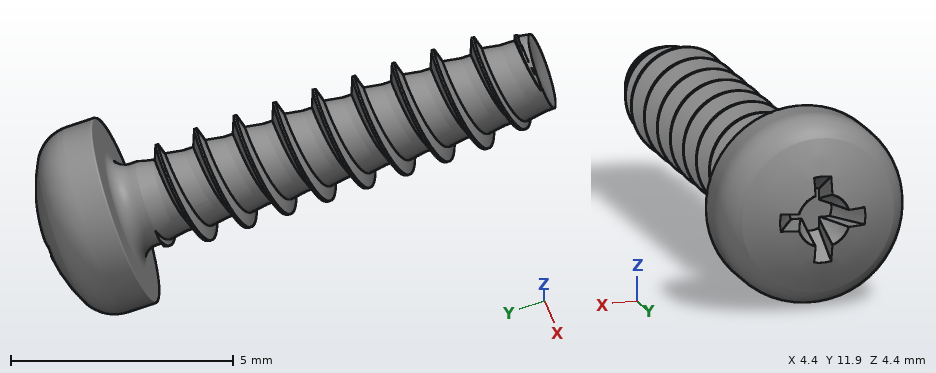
import cadquery as cq
import math


HEAD_RADIUS = 2.2
HEAD_HEIGHT = 1.88
HEAD_SIDE_HEIGHT = 0.69
DOME_EDGE_RADIUS = 1.8
DOME_EDGE_HEIGHT = 1.446
BEARING_EDGE_ROUND = 0.04

RECESS_CORE_RADIUS = 0.62
RECESS_CORE_FLOOR_RADIUS = 0.3
RECESS_WING_RADIUS = 1.06
RECESS_WING_FLOOR_RADIUS = 0.5
RECESS_WING_WIDTH = 0.4
RECESS_DEPTH = 1.0

SHANK_LENGTH = 10.0
NECK_RADIUS = 0.966
NECK_LENGTH = 0.6
NECK_FILLET = 0.4
NECK_TAPER_LENGTH = 0.4
CORE_RADIUS = 0.875
TIP_RADIUS = 0.86
TIP_TAPER_LENGTH = 0.5
TIP_DIMPLE_RADIUS = 0.78
TIP_DIMPLE_DEPTH = 0.1

PITCH = 0.95
CREST_RADIUS = 1.25
CREST_WIDTH = 0.06
HEAD_FLANK_LENGTH = 0.15
TIP_FLANK_LENGTH = 0.1
FLANK_FOOT_RADIUS = 0.94
ROOT_TAPER_LENGTH = 0.42
ROOT_OVERLAP = 0.02
THREAD_START_ANGLE = -90.0
THREAD_START_Y = -0.49
THREAD_TURNS = 10
LEAD_IN_TURNS = 1.0
LEAD_IN_SIZE = 0.42
RUN_OUT_TURNS = 1.4
RUN_OUT_SIZE = 0.04
POINTS_PER_TURN = 24


def make_head():
    """Domed head: straight side, rounded shoulder and spherical top."""
    dome_center = (
        (RECESS_CORE_RADIUS**2 + HEAD_HEIGHT**2) - (DOME_EDGE_RADIUS**2 + DOME_EDGE_HEIGHT**2)
    ) / (2 * (HEAD_HEIGHT - DOME_EDGE_HEIGHT))
    dome_radius = math.hypot(DOME_EDGE_RADIUS, DOME_EDGE_HEIGHT - dome_center)
    half_angle = math.asin(DOME_EDGE_RADIUS / dome_radius) / 2
    dome_middle = (
        dome_radius * math.sin(half_angle),
        dome_center + dome_radius * math.cos(half_angle),
    )
    profile = (
        cq.Workplane("ZY")
        .lineTo(HEAD_RADIUS, 0)
        .lineTo(HEAD_RADIUS, HEAD_SIDE_HEIGHT)
        .tangentArcPoint((DOME_EDGE_RADIUS, DOME_EDGE_HEIGHT), relative=False)
        .threePointArc(dome_middle, (0, dome_center + dome_radius))
        .close()
    )
    head = profile.revolve(360, (0, 0, 0), (0, 1, 0))
    return head.faces("<Y").edges().fillet(BEARING_EDGE_ROUND)


def make_recess_cone(floor_radius, mouth_radius):
    """Cone widening from the recess floor to the mouth at the head height, and on past the dome."""
    floor_y = HEAD_HEIGHT - RECESS_DEPTH
    slope = (mouth_radius - floor_radius) / RECESS_DEPTH
    top_y = HEAD_HEIGHT + RECESS_DEPTH / 2
    top_radius = mouth_radius + slope * (top_y - HEAD_HEIGHT)
    return (
        cq.Workplane("ZY")
        .polyline([(0, floor_y), (floor_radius, floor_y), (top_radius, top_y), (0, top_y)])
        .close()
        .revolve(360, (0, 0, 0), (0, 1, 0))
    )


def make_recess():
    """Cross recess: a conical core with four tapering wings."""
    span = 2 * HEAD_RADIUS
    height = 2 * HEAD_HEIGHT
    wings = cq.Workplane("XY").box(span, height, RECESS_WING_WIDTH)
    wings = wings.union(cq.Workplane("XY").box(RECESS_WING_WIDTH, height, span))
    wings = wings.translate((0, HEAD_HEIGHT, 0))
    wings = wings.intersect(make_recess_cone(RECESS_WING_FLOOR_RADIUS, RECESS_WING_RADIUS))
    return wings.union(make_recess_cone(RECESS_CORE_FLOOR_RADIUS, RECESS_CORE_RADIUS))


def make_shank():
    """Thread core with the filleted neck under the head and a tapered tip."""
    bend = NECK_FILLET * (1 - math.sqrt(0.5))
    return (
        cq.Workplane("ZY")
        .lineTo(NECK_RADIUS + NECK_FILLET, 0)
        .threePointArc((NECK_RADIUS + bend, -bend), (NECK_RADIUS, -NECK_FILLET))
        .lineTo(NECK_RADIUS, -NECK_LENGTH)
        .lineTo(CORE_RADIUS, -NECK_LENGTH - NECK_TAPER_LENGTH)
        .lineTo(CORE_RADIUS, -SHANK_LENGTH + TIP_TAPER_LENGTH)
        .lineTo(TIP_RADIUS, -SHANK_LENGTH)
        .lineTo(0, -SHANK_LENGTH)
        .close()
        .revolve(360, (0, 0, 0), (0, 1, 0))
    )


def make_tip_dimple():
    """Shallow cone sunk into the flat tip."""
    return (
        cq.Workplane("ZY", origin=(0, -SHANK_LENGTH, 0))
        .polyline([(0, 0), (TIP_DIMPLE_RADIUS, 0), (0, TIP_DIMPLE_DEPTH)])
        .close()
        .revolve(360, (0, 0, 0), (0, 1, 0))
    )


def ridge_size(turn):
    """Crest height, as a share of the full height, at a number of turns from the start of the thread."""
    lead_in = LEAD_IN_SIZE + (1 - LEAD_IN_SIZE) * turn / LEAD_IN_TURNS
    run_out = RUN_OUT_SIZE + (1 - RUN_OUT_SIZE) * (THREAD_TURNS - turn) / RUN_OUT_TURNS
    return min(1, lead_in, run_out)


def ridge_corners(size):
    """Corners of the ridge section as (radius, distance towards the tip from the crest middle)."""
    inner = CORE_RADIUS - ROOT_OVERLAP
    overlap_length = HEAD_FLANK_LENGTH * ROOT_OVERLAP / (CREST_RADIUS - CORE_RADIUS)
    half_crest = CREST_WIDTH / 2
    crest = CORE_RADIUS + (CREST_RADIUS - CORE_RADIUS) * size
    foot = min(FLANK_FOOT_RADIUS, crest)
    foot_y = half_crest + TIP_FLANK_LENGTH * size
    root_taper_slope = ROOT_TAPER_LENGTH / (FLANK_FOOT_RADIUS - CORE_RADIUS)
    return [
        (inner, -half_crest - HEAD_FLANK_LENGTH * size - overlap_length),
        (crest, -half_crest),
        (crest, half_crest),
        (foot, foot_y),
        (inner, foot_y + root_taper_slope * (foot - inner)),
    ]


def ridge_point(corner, turn):
    """Place of one section corner at a number of turns from the start of the thread."""
    radius, tipward = ridge_corners(ridge_size(turn))[corner]
    angle = math.radians(THREAD_START_ANGLE) + 2 * math.pi * turn
    y = THREAD_START_Y - PITCH * turn - tipward
    return cq.Vector(radius * math.cos(angle), y, radius * math.sin(angle))


def ridge_edge(corner, start, end):
    """Helical edge of one section corner between two turn counts."""
    steps = math.ceil((end - start) * POINTS_PER_TURN)
    turns = [start + (end - start) * step / steps for step in range(steps + 1)]
    return cq.Edge.makeSpline([ridge_point(corner, turn) for turn in turns])


def ridge_end(turn):
    """Flat face closing the ridge at one end."""
    corners = [ridge_point(corner, turn) for corner in range(len(ridge_corners(1)))]
    return cq.Face.makeFromWires(cq.Wire.makePolygon(corners, close=True))


def make_thread():
    """Right-handed helical ridge that grows in under the head, fades out and stays within the shank."""
    stops = [0, LEAD_IN_TURNS, THREAD_TURNS - RUN_OUT_TURNS, THREAD_TURNS]
    faces = [ridge_end(0), ridge_end(THREAD_TURNS)]
    for start, end in zip(stops, stops[1:]):
        edges = [ridge_edge(corner, start, end) for corner in range(len(ridge_corners(1)))]
        for edge, next_edge in zip(edges, edges[1:] + edges[:1]):
            faces.append(cq.Face.makeRuledSurface(edge, next_edge))
    ridge = cq.Workplane(cq.Solid.makeSolid(cq.Shell.makeShell(faces)))

    threaded_length = SHANK_LENGTH - NECK_LENGTH
    width = 4 * CREST_RADIUS
    limits = cq.Workplane("XY").box(width, threaded_length, width)
    return ridge.intersect(limits.translate((0, -NECK_LENGTH - threaded_length / 2, 0)))


head = make_head().cut(make_recess())
shank = make_shank().union(make_thread()).cut(make_tip_dimple())
result = cq.Workplane(head.union(shank).solids().val())